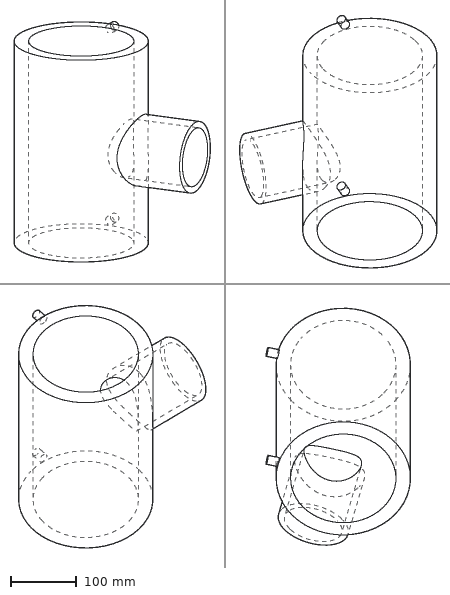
import cadquery as cq

height = 320.0
outer_diameter = 204.0
bore_diameter = 160.0

branch_diameter = 110.0
branch_wall = 10.0
branch_reach = 191.0

pin_diameter = 14.0
pin_reach = 119.0
pin_end_distance = 8.0


def upright_cylinder(diameter):
    return cq.Workplane("XY").circle(diameter / 2).extrude(height / 2, both=True)


def branch_cylinder(diameter):
    return cq.Workplane("YZ").circle(diameter / 2).extrude(branch_reach)


def pin(z):
    axis_start = cq.Vector(0, 0, z)
    axis_direction = cq.Vector(0, 1, 0)
    return cq.Workplane(cq.Solid.makeCylinder(pin_diameter / 2, pin_reach, axis_start, axis_direction))


body = upright_cylinder(outer_diameter).union(branch_cylinder(branch_diameter))
for end in (-1, 1):
    body = body.union(pin(end * (height / 2 - pin_end_distance)))

body = body.cut(upright_cylinder(bore_diameter))
result = body.cut(branch_cylinder(branch_diameter - 2 * branch_wall))